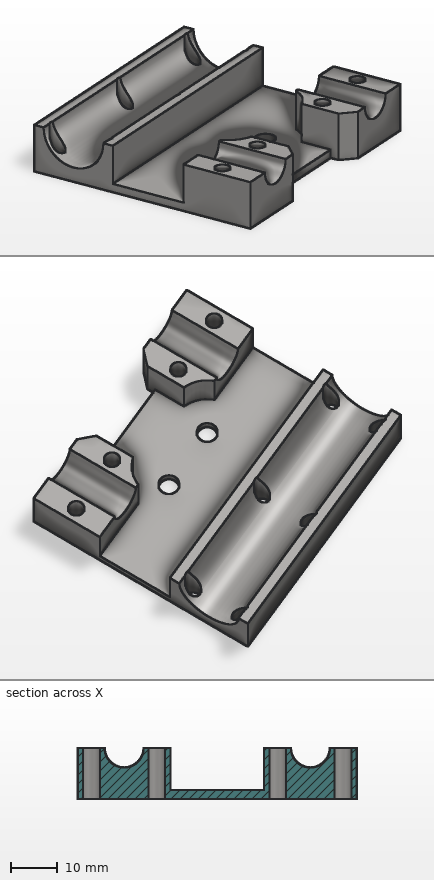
import cadquery as cq

length = 55.0
width = 60.0
height = 11.0
floor_thickness = 2.0

rail_width = 20.0
rail_groove_diameter = 15.2

block_length = 17.0
block_width = 20.0
block_groove_diameter = 8.3
block_chamfer = 3.0

notch_depth = 5.0

clamp_hole_diameter = 3.5
clamp_hole_edge_distance = 3.0
rail_hole_spacing = 12.0
block_hole_from_end = 9.0
mount_hole_diameter = 4.5
mount_hole_spacing = 15.0
mount_hole_from_end = 20.0
mount_clearance_radius = 8.0

x_min = -length / 2
x_max = length / 2
y_max = width / 2
rail_x = x_min + rail_width / 2
block_x = x_max - block_length / 2
block_y = y_max - block_width / 2
gap_width = width - 2 * block_width
mount_points = [(x_max - mount_hole_from_end, side * mount_hole_spacing / 2) for side in (-1, 1)]


def box(size_x, size_y, size_z, center_x, center_y, bottom=0.0):
    """Box placed by its centre in X and Y and by its underside."""
    return (
        cq.Workplane("XY", origin=(center_x, center_y, bottom))
        .box(size_x, size_y, size_z, centered=(True, True, False))
    )


def upright_cylinders(points, diameter, bottom=0.0):
    """Vertical cylinders from the given level to the top of the part."""
    return (
        cq.Workplane("XY", origin=(0, 0, bottom))
        .pushPoints(points)
        .circle(diameter / 2)
        .extrude(height - bottom)
    )


def make_floor():
    """Base plate with the open notch between the blocks."""
    plate = box(length, width, floor_thickness, 0, 0)
    notch = box(notch_depth, gap_width, floor_thickness, x_max - notch_depth / 2, 0)
    return plate.cut(notch)


def make_rail():
    """Full-height rail with its groove centred on the top face."""
    groove = (
        cq.Workplane("XZ", origin=(rail_x, y_max, height))
        .circle(rail_groove_diameter / 2)
        .extrude(width)
    )
    return box(rail_width, width, height, rail_x, 0).cut(groove)


def make_block(side):
    """Corner block on the -Y (side = -1) or +Y (side = 1) edge."""
    center_y = side * block_y
    groove = (
        cq.Workplane("YZ", origin=(x_max - block_length, center_y, height))
        .circle(block_groove_diameter / 2)
        .extrude(block_length)
    )
    return box(block_length, block_width, height, block_x, center_y).cut(groove)


def make_chamfer_cutter(side):
    """Prism that removes the inner outer-end corner of a block, floor included."""
    inner_y = side * gap_width / 2
    return (
        cq.Workplane("XY")
        .moveTo(x_max, inner_y)
        .lineTo(x_max - block_chamfer, inner_y)
        .lineTo(x_max, inner_y + side * block_chamfer)
        .close()
        .extrude(height)
    )


def clamp_hole_points():
    """Centres of the small holes in the rail and in the blocks."""
    end_y = y_max - clamp_hole_edge_distance
    inner_y = gap_width / 2 + clamp_hole_edge_distance
    block_hole_x = x_max - block_hole_from_end
    points = []
    for offset in (-rail_hole_spacing / 2, rail_hole_spacing / 2):
        points += [(rail_x + offset, y) for y in (-end_y, 0, end_y)]
    points += [(block_hole_x, y) for y in (-end_y, -inner_y, inner_y, end_y)]
    return points


result = make_floor().union(make_rail())
for block_side in (-1, 1):
    result = result.union(make_block(block_side)).cut(make_chamfer_cutter(block_side))

result = result.cut(upright_cylinders(mount_points, 2 * mount_clearance_radius, floor_thickness))
result = result.cut(upright_cylinders(mount_points, mount_hole_diameter))
result = result.cut(upright_cylinders(clamp_hole_points(), clamp_hole_diameter))